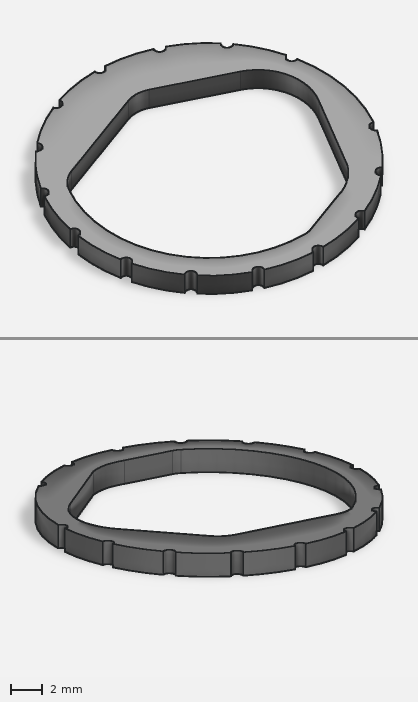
import cadquery as cq
import math

outer_width = 22.0
thickness = 1.58

notch_radius = 0.4
notch_pitches = 16
plain_pitch = 5

half_width = outer_width / 2
outer_radius = (half_width + math.sqrt(half_width**2 + 2 * notch_radius**2)) / 2

bore_radius = 9.32
left_flat = 7.39
top_flat = 8.25
upper_right_flat = 8.82
lower_left_flat = 7.12
top_left_radius = 4.0
lower_corner_radius = 2.2
bore_start_radius = 1.55

top_flat_end = 3.12
arc_end_along = -0.84
corner_arc_rise = 0.26


def half_chord(flat_distance):
    """Half the length of the bore chord cut by a flat at this distance."""
    return math.sqrt(bore_radius**2 - flat_distance**2)


def diagonal_point(distance, along):
    """Point on a 45 degree flat facing +X +Y, measured along it toward +X -Y."""
    return ((distance + along) / math.sqrt(2), (distance - along) / math.sqrt(2))


def make_opening():
    lower_left_sum = -lower_left_flat * math.sqrt(2)
    top_left = (-left_flat, top_flat)
    corner_arc_end = diagonal_point(upper_right_flat, arc_end_along)
    bore_start = diagonal_point(upper_right_flat, half_chord(upper_right_flat))
    bore_middle = diagonal_point(0, bore_radius)
    bore_end = diagonal_point(-lower_left_flat, half_chord(lower_left_flat))
    bottom_left = (-left_flat, lower_left_sum + left_flat)

    opening = (
        cq.Workplane("XY")
        .moveTo(*top_left)
        .lineTo(top_flat_end, top_flat)
        .sagittaArc(corner_arc_end, corner_arc_rise)
        .lineTo(*bore_start)
        .threePointArc(bore_middle, bore_end)
        .lineTo(*bottom_left)
        .close()
        .extrude(thickness)
    )
    corner_radii = (
        (top_left, top_left_radius),
        (bore_start, bore_start_radius),
        (bore_end, lower_corner_radius),
        (bottom_left, lower_corner_radius),
    )
    for (x, y), radius in corner_radii:
        corner_edge = cq.selectors.NearestToPointSelector((x, y, thickness / 2))
        opening = opening.edges("|Z").edges(corner_edge).fillet(radius)
    return opening


def make_notches():
    pitch_angle = 2 * math.pi / notch_pitches
    centers = [
        (outer_radius * math.cos(i * pitch_angle), outer_radius * math.sin(i * pitch_angle))
        for i in range(notch_pitches)
        if i != plain_pitch
    ]
    return cq.Workplane("XY").pushPoints(centers).circle(notch_radius).extrude(thickness)


disc = cq.Workplane("XY").circle(outer_radius).extrude(thickness)
result = disc.cut(make_opening()).cut(make_notches())